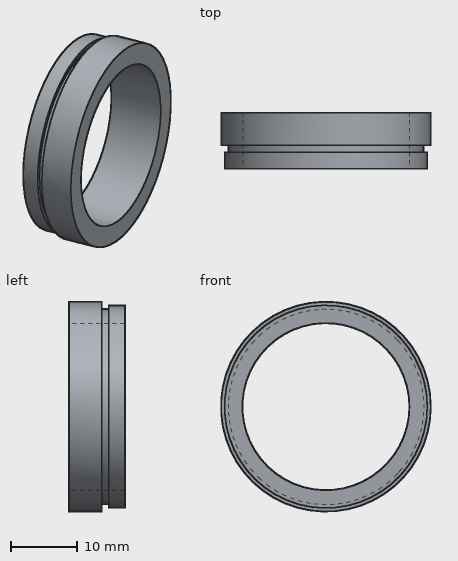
import cadquery as cq

body_diameter = 31.75
lip_diameter = 30.65
groove_diameter = 29.55
bore_diameter = 25.2

total_length = 8.5
lip_length = 2.5
groove_width = 1.02
body_length = total_length - lip_length - groove_width


def cylinder_along_y(diameter, start, length):
    """Solid cylinder on the Y axis, running from start toward +Y."""
    plane = cq.Plane(origin=(0, start, 0), xDir=(1, 0, 0), normal=(0, 1, 0))
    return cq.Workplane(plane).circle(diameter / 2).extrude(length)


front_face = -total_length / 2
groove_start = front_face + lip_length
body_start = groove_start + groove_width

lip = cylinder_along_y(lip_diameter, front_face, lip_length)
groove_floor = cylinder_along_y(groove_diameter, groove_start, groove_width)
body = cylinder_along_y(body_diameter, body_start, body_length)
bore = cylinder_along_y(bore_diameter, front_face, total_length)

result = lip.union(groove_floor).union(body).cut(bore)